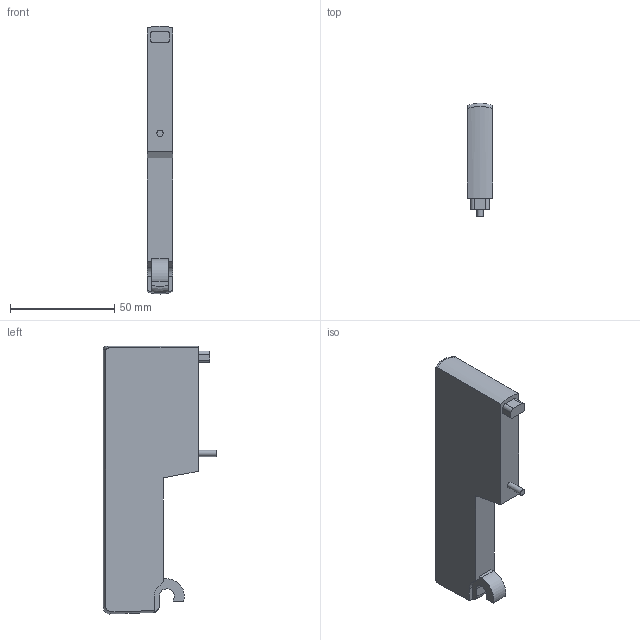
import cadquery as cq
import math

width = 12.3
height = 128.52
total_depth = 54.4
pin_length = 8.9
depth = total_depth - pin_length

lower_front_y = 16.65
step_front_z = 68.4
step_back_z = 65.3
back_crown = 1.2
end_crown = 0.95
bottom_slope = math.radians(1.9)
bottom_back_radius = 3.0
top_back_radius = 1.5
leg_bottom_radius = 3.0

hook_width = 8.1
hook_y = 15.05
hook_z = 8.5
hook_inner_radius = 3.55
hook_outer_radius = 8.4
hook_tip_z = 6.0
hook_tip_inset = 0.4
leg_front_y = hook_y + hook_inner_radius
relief_radius = 6.1

pin_diameter = 3.0
pin_z = height - 51.5
key_width = 9.2
key_height = 5.4
key_length = 5.5
key_top_z = height - 2.4
key_top_radius = 1.75
key_bottom_radius = 1.0


def bottom_z(y):
    """Height of the sloped bottom crown line, zero below the centre of the back corner rounding."""
    return (depth - bottom_back_radius - y) * math.tan(bottom_slope)


def crowned_prism(origin, axis, rise):
    """Long prism along axis whose arched face has its apex line through origin."""
    reach = 2 * height
    plane = cq.Plane(origin=origin, xDir=(1, 0, 0), normal=axis)
    return (
        cq.Workplane(plane)
        .moveTo(-width / 2, -rise)
        .threePointArc((0, 0), (width / 2, -rise))
        .lineTo(width / 2, -reach)
        .lineTo(-width / 2, -reach)
        .close()
        .extrude(reach, both=True)
    )


def make_body():
    """Stepped slab with crowned back, top and bottom faces and rounded lower corners."""
    hook_crest_z = hook_z + hook_inner_radius
    outline = [
        (0, height),
        (0, step_front_z),
        (lower_front_y, step_back_z),
        (lower_front_y, hook_crest_z),
        (leg_front_y, hook_crest_z),
        (leg_front_y, bottom_z(leg_front_y)),
        (depth, bottom_z(depth)),
        (depth, height),
    ]
    body = cq.Workplane("YZ").polyline(outline).close().extrude(width / 2, both=True)
    slope_axis = (0, math.cos(bottom_slope), -math.sin(bottom_slope))
    body = body.intersect(crowned_prism((0, depth, 0), (0, 0, 1), back_crown))
    body = body.intersect(crowned_prism((0, 0, height), (0, -1, 0), end_crown))
    body = body.intersect(crowned_prism((0, 0, bottom_z(0)), slope_axis, end_crown))
    body = round_edge(body, depth, 0, bottom_back_radius)
    body = round_edge(body, depth, height, top_back_radius)
    return round_edge(body, leg_front_y, bottom_z(leg_front_y), leg_bottom_radius)


def round_edge(body, y, z, radius):
    """Round the crosswise edge nearest to the given point of the middle plane."""
    return body.edges(cq.selectors.NearestToPointSelector((0, y, z))).fillet(radius)


def circle_point(radius, degrees):
    """Point in YZ on a circle about the hook centre, measured from +Y toward +Z."""
    angle = math.radians(degrees)
    return (hook_y + radius * math.cos(angle), hook_z + radius * math.sin(angle))


def relief_outline():
    """Closed YZ wire in front of the hook relief: upright, arc, then 45 degree ramp."""
    ramp_start = circle_point(relief_radius, 45)
    ramp_end = (lower_front_y, ramp_start[1] + ramp_start[0] - lower_front_y)
    below = -height
    return (
        cq.Workplane("YZ")
        .moveTo(hook_y + relief_radius, below)
        .lineTo(hook_y + relief_radius, hook_z)
        .threePointArc(circle_point(relief_radius, 22.5), ramp_start)
        .lineTo(*ramp_end)
        .lineTo(0, ramp_end[1])
        .lineTo(0, below)
        .close()
    )


def cut_side_reliefs(body):
    """Thin the body to the hook width beside the hook leg."""
    cutter = relief_outline().extrude(width, both=True)
    core = cq.Workplane("XY").box(hook_width, 4 * height, 4 * height)
    return body.cut(cutter.cut(core))


def make_hook():
    """Open hook curling forward from the leg, with its back buried in the body."""
    root_y = hook_y + relief_radius
    hook_top_z = hook_z + hook_outer_radius
    inner_tip_angle = 180 + math.degrees(math.acos(1 - hook_tip_inset / hook_inner_radius))
    outer_tip_angle = 180 + math.degrees(math.asin((hook_z - hook_tip_z) / hook_outer_radius))
    inner_tip = circle_point(hook_inner_radius, inner_tip_angle)
    return (
        cq.Workplane("YZ")
        .moveTo(leg_front_y, hook_z)
        .threePointArc(circle_point(hook_inner_radius, 90), inner_tip)
        .lineTo(inner_tip[0], hook_tip_z)
        .lineTo(*circle_point(hook_outer_radius, outer_tip_angle))
        .threePointArc(circle_point(hook_outer_radius, 135), (hook_y, hook_top_z))
        .lineTo(root_y, hook_top_z)
        .lineTo(root_y, hook_z)
        .close()
        .extrude(hook_width / 2, both=True)
    )


def make_pin():
    """Round pin standing forward from the upper front face."""
    return (
        cq.Workplane("XZ", origin=(0, 0, pin_z))
        .circle(pin_diameter / 2)
        .extrude(pin_length)
    )


def make_key():
    """Flat key with rounded long edges below the top of the front face."""
    return (
        cq.Workplane("XZ", origin=(0, 0, key_top_z - key_height / 2))
        .rect(key_width, key_height)
        .extrude(key_length)
        .edges("|Y and >Z")
        .fillet(key_top_radius)
        .edges("|Y and <Z")
        .fillet(key_bottom_radius)
    )


body = cut_side_reliefs(make_body().union(make_hook()))
result = body.union(make_pin()).union(make_key())